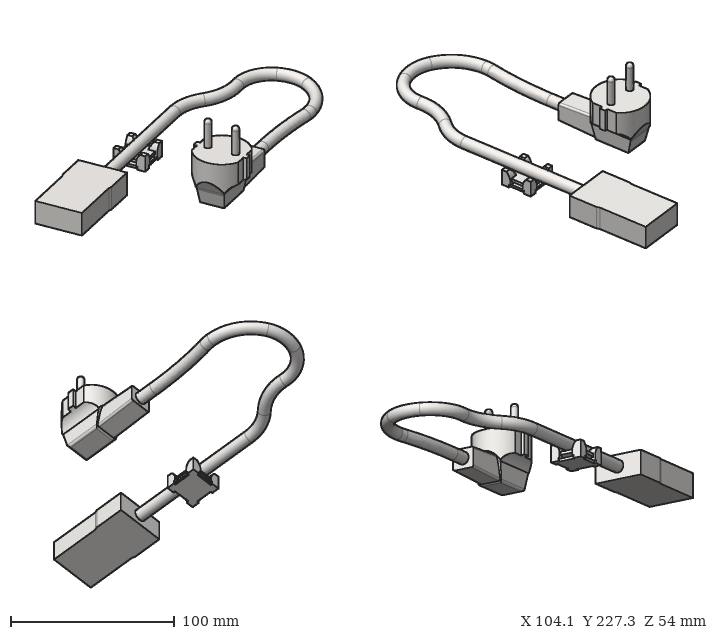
import cadquery as cq


connector_length = 57.7
connector_rear_width = 33.6
connector_front_width = 32.3
connector_front_length = 35.0
connector_taper_length = 2.3
connector_height = 16.0
connector_x = -0.2
connector_z = -0.2

plug_x = 68.7
plug_y = 83.2
plug_diameter = 36.8
plug_flat_width = 32.3
key_width = 4.3
plug_top_z = 24.5
plug_bottom_z = -8.9
drum_bottom_z = 9.5
neck_half_width = 9.5
neck_z = 3.5
neck_flare_radius = 11.4
base_half_width = 8.5
end_slope_top_z = 10.7
neck_half_length = 15.2
neck_band_z = 2.0
neck_band_half_length = 14.8
base_half_length = 12.3
base_round = 1.8

pin_diameter = 4.8
pin_spacing = 19.0
pin_length = 19.3
pin_tip_round = 2.3

arm_width = 15.2
arm_tip_y = 124.8
arm_tip_top_z = 6.4
arm_tip_bottom_z = -6.8
arm_taper = 1.8
arm_round = 1.4

cable_diameter = 8.2
cable_radius = cable_diameter / 2
straight_end_y = 151.0
bend_ends = [(8.6, 172.0), (18.5, 198.5), (33.6, 221.6), (55.7, 219.5), (73.2, 190.0), (72.7, 184.1)]
plug_lead_y = 136.6

clip_y = 103.0
clip_width = 22.0
clip_half = clip_width / 2
clip_top_z = 0.7
clip_bottom_z = -10.2
clip_floor_z = -cable_radius
notch_top_half_width = 7.5
notch_mid_half_width = 5.7
notch_half_width = 4.8
recess_depth = 1.4
foot_z = -8.5
foot_half_width = 5.7
channel_mouth_z = -6.1
channel_middle_height = 0.2


def make_connector():
    rear_half = connector_rear_width / 2
    front_half = connector_front_width / 2
    taper_end_y = connector_front_length + connector_taper_length
    return (
        cq.Workplane("XY", origin=(connector_x, 0, connector_z - connector_height / 2))
        .moveTo(-front_half, 0)
        .lineTo(front_half, 0)
        .lineTo(front_half, connector_front_length)
        .lineTo(rear_half, taper_end_y)
        .lineTo(rear_half, connector_length)
        .lineTo(-rear_half, connector_length)
        .lineTo(-rear_half, taper_end_y)
        .lineTo(-front_half, connector_front_length)
        .close()
        .extrude(connector_height)
    )


def make_plug_plan():
    """Round drum with two side flats, and a key strip left standing on each flat."""
    height = plug_top_z - plug_bottom_z
    across = cq.Workplane("XY", origin=(plug_x, plug_y, plug_bottom_z))
    flats = across.rect(plug_flat_width, plug_diameter).extrude(height)
    keys = across.rect(plug_diameter, key_width).extrude(height)
    return across.circle(plug_diameter / 2).extrude(height).intersect(flats.union(keys))


def make_plug_body():
    half = plug_diameter / 2
    side_profile = (
        cq.Workplane("XZ", origin=(plug_x, plug_y, 0))
        .moveTo(-half, plug_top_z)
        .lineTo(half, plug_top_z)
        .lineTo(half, drum_bottom_z)
        .radiusArc((neck_half_width, neck_z), -neck_flare_radius)
        .lineTo(base_half_width, plug_bottom_z)
        .lineTo(-base_half_width, plug_bottom_z)
        .lineTo(-neck_half_width, neck_z)
        .radiusArc((-half, drum_bottom_z), -neck_flare_radius)
        .close()
        .extrude(half, both=True)
    )
    end_profile = (
        cq.Workplane("YZ", origin=(plug_x, plug_y, 0))
        .moveTo(0, plug_top_z)
        .lineTo(-half, plug_top_z)
        .lineTo(-half, end_slope_top_z)
        .lineTo(-neck_half_length, neck_z)
        .lineTo(-neck_band_half_length, neck_band_z)
        .lineTo(-base_half_length, plug_bottom_z)
        .lineTo(0, plug_bottom_z)
        .mirrorY()
        .extrude(half, both=True)
    )
    body = make_plug_plan().intersect(side_profile).intersect(end_profile)
    return body.faces("<Z").edges().fillet(base_round)


def make_pins():
    return (
        cq.Workplane("XY", origin=(plug_x, plug_y, plug_top_z))
        .pushPoints([(-pin_spacing / 2, 0), (pin_spacing / 2, 0)])
        .circle(pin_diameter / 2)
        .extrude(pin_length)
        .faces(">Z")
        .edges()
        .fillet(pin_tip_round)
    )


def make_arm():
    return (
        cq.Workplane("YZ", origin=(plug_x, 0, 0))
        .moveTo(arm_tip_y, arm_tip_bottom_z)
        .lineTo(arm_tip_y, arm_tip_top_z)
        .lineTo(plug_y, arm_tip_top_z + arm_taper)
        .lineTo(plug_y, arm_tip_bottom_z - arm_taper)
        .close()
        .extrude(arm_width / 2, both=True)
        .edges("(not |X) and (not |Z)")
        .fillet(arm_round)
    )


def make_cable():
    """Round cable following a chain of tangent arcs from the connector to the arm."""
    start = cq.Vector(0, connector_length, 0)
    straight_end = cq.Vector(0, straight_end_y, 0)
    path = [cq.Edge.makeLine(start, straight_end)]
    for x, y in bend_ends:
        path.append(cq.Edge.makeTangentArc(path[-1].endPoint(), path[-1].tangentAt(1), cq.Vector(x, y, 0)))
    lead = cq.Vector(plug_x, plug_lead_y, 0)
    towards_plug = cq.Vector(0, -1, 0)
    path.append(cq.Edge.makeSpline([path[-1].endPoint(), lead], [path[-1].tangentAt(1), towards_plug]))
    path.append(cq.Edge.makeLine(lead, cq.Vector(plug_x, arm_tip_y, 0)))
    section = cq.Workplane("XZ", origin=start.toTuple()).circle(cable_radius)
    return section.sweep(cq.Workplane(cq.Wire.assembleEdges(path)))


def make_cord_set():
    return (
        make_connector()
        .union(make_cable())
        .union(make_arm())
        .union(make_plug_body())
        .union(make_pins())
    )


def make_notch():
    """Saddle opening between the posts, running along Y, flared towards the top."""
    mid_z = (clip_top_z + clip_floor_z) / 2
    return (
        cq.Workplane("XZ")
        .moveTo(-notch_top_half_width, clip_top_z)
        .threePointArc((-notch_mid_half_width, mid_z), (-notch_half_width, clip_floor_z))
        .lineTo(notch_half_width, clip_floor_z)
        .threePointArc((notch_mid_half_width, mid_z), (notch_top_half_width, clip_top_z))
        .close()
        .extrude(clip_half, both=True)
    )


def make_side_recess():
    """Inset of the -Y side between two posts, wider at the foot."""
    side = cq.Workplane("XY", origin=(0, -clip_half + recess_depth / 2, clip_bottom_z))
    upper = side.rect(2 * notch_half_width, recess_depth).extrude(clip_top_z - clip_bottom_z)
    foot = side.rect(2 * foot_half_width, recess_depth).extrude(foot_z - clip_bottom_z)
    return upper.union(foot)


def make_tie_channel():
    """Cable tie passage along X above the foot, with its roof sagging towards the middle."""
    mouth_x = clip_half - recess_depth
    return (
        cq.Workplane("XZ")
        .moveTo(-mouth_x, foot_z)
        .lineTo(-mouth_x, channel_mouth_z)
        .threePointArc((0, foot_z + channel_middle_height), (mouth_x, channel_mouth_z))
        .lineTo(mouth_x, foot_z)
        .close()
        .extrude(notch_half_width, both=True)
    )


def make_clip():
    clip = (
        cq.Workplane("XY", origin=(0, 0, clip_bottom_z))
        .rect(clip_width, clip_width)
        .extrude(clip_top_z - clip_bottom_z)
    )
    z_axis = ((0, 0, 0), (0, 0, 1))
    for angle in (0, 90):
        clip = clip.cut(make_notch().rotate(*z_axis, angle))
        clip = clip.cut(make_tie_channel().rotate(*z_axis, angle))
    for angle in (0, 90, 180, 270):
        clip = clip.cut(make_side_recess().rotate(*z_axis, angle))
    return clip.translate((0, clip_y, 0))


cord_set = make_cord_set()
clip = make_clip()
result = cq.Compound.makeCompound([cord_set.val(), clip.val()])